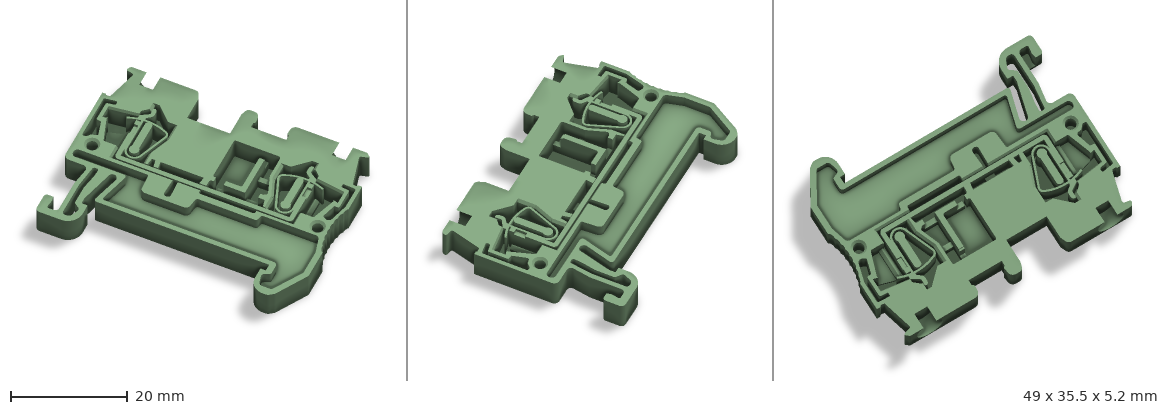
import cadquery as cq
import math

TOP = 5.2
FLOOR = 0.8
WELL_FLOOR = 1.2
KEY_FLOOR = 1.5
FOOT_FLOOR = 3.0
RIB_TOP = 2.4
CONTACT_FLOOR = 4.3
LEAD_IN = 0.5
SHELF = 2.5
METAL_TOP = 4.9
OVERSHOOT = 1.0

HALF_LENGTH = 24.5
HEIGHT = 35.5

GRIP_RADIUS = 13.5
GRIP_CENTER = (36.9, 17.5)
GRIP_TOP_Y = 23.0
GRIP_BOTTOM_Y = 12.5
GRIP_SCALLOPS = 8
SCALLOP_DEPTH = 0.15

BAR_LEG_X = 16.8
BAR_THICKNESS = 0.85
BAR_BOTTOM = 16.45
BAR_LEG_TOP = 25.5
BAR_CORNER = 0.8
CHANNEL_X = BAR_LEG_X + 0.65
CHANNEL_BOTTOM = 15.95
CHANNEL_SLOPE = 0.33
RIB_X = -17.65
SPRING_THICKNESS = 0.38
SPRING_ARC_RADIUS = 9.3
SPRING_ARC_CENTER = (-14.9, 16.95)
CONTACT_Y = (22.4, 24.55)

POST_X = -14.3
POST_HALF_WIDTH = 0.67
POST_BOTTOM = 18.4
POST_TOP = 25.7
POST_CORNER = 0.6
POST_FOOT_Y = 19.3
POST_FOOT_BASE_RADIUS = 1.1
POST_FOOT_TOP_RADIUS = 0.9
HOLE_CENTER = (21.3, 17.3)
HOLE_RADIUS = 1.0
SINK_RADIUS = 1.4
SINK_DEPTH = 0.45
BORE_X = 18.2
BORE_RADIUS = 2.6
BORE_AXIS_Z = 2.94
BORE_DEPTH = 3.0
WELL_BOTTOM = 18.8
WELL_TOP = 24.6
CHAMBER_BOTTOM = 17.0


def rounded_wire(points, plane_z=0.0):
    """Closed outline through (x, y) or (x, y, radius) corners; a radius turns the corner into an arc."""
    count = len(points)
    stretches = []
    for i, corner in enumerate(points):
        here = cq.Vector(corner[0], corner[1])
        if len(corner) == 2:
            stretches.append((here,))
            continue
        radius = corner[2]
        back = (cq.Vector(*points[i - 1][:2]) - here).normalized()
        ahead = (cq.Vector(*points[(i + 1) % count][:2]) - here).normalized()
        half_angle = back.getAngle(ahead) / 2
        reach = radius / math.tan(half_angle)
        bisector = (back + ahead).normalized()
        middle = here + bisector * (radius / math.sin(half_angle) - radius)
        stretches.append((here + back * reach, middle, here + ahead * reach))
    sketch = cq.Workplane("XY", origin=(0, 0, plane_z)).moveTo(stretches[0][-1].x, stretches[0][-1].y)
    for stretch in stretches[1:] + stretches[:1]:
        sketch = sketch.lineTo(stretch[0].x, stretch[0].y)
        if len(stretch) == 3:
            sketch = sketch.threePointArc(stretch[1].toTuple()[:2], stretch[2].toTuple()[:2])
    return sketch.close()


def prism(points, bottom, top):
    return rounded_wire(points, bottom).extrude(top - bottom)


def pocket(points, floor=FLOOR):
    """Cutter for a recess open at the top face."""
    return prism(points, floor, TOP + OVERSHOOT)


def box(x0, x1, y0, y1, bottom, top):
    return cq.Workplane("XY").box(x1 - x0, y1 - y0, top - bottom, centered=False).translate((x0, y0, bottom))


def mirrored(shape):
    return shape.mirror("YZ")


def both_ends(shape):
    return shape.union(mirrored(shape))


def lead_in_wall(start, end, width, lead=LEAD_IN, top=TOP):
    """Lining on the left of start-end, `width` thick, whose top `lead` slopes back to the rim."""
    along = cq.Vector(end[0] - start[0], end[1] - start[1])
    inward = cq.Vector(-along.y, along.x).normalized()
    plane = cq.Plane(origin=(start[0], start[1], FLOOR), xDir=inward, normal=along.normalized())
    height = top - FLOOR
    section = [(0, 0), (width, 0), (width, height - lead), (0, height)]
    return cq.Workplane(plane).polyline(section).close().extrude(along.Length)


def grip_point(y, inset=0.0):
    center_x, center_y = GRIP_CENTER
    return (center_x - math.sqrt(GRIP_RADIUS**2 - (y - center_y) ** 2) - inset, y)


def body_blank():
    outline = [
        (-HALF_LENGTH, 12.5, 1.0),
        (-HALF_LENGTH, 28.3),
        (-23.85, 28.3),
        (-23.75, 28.1),
        (-22.95, 28.1, 0.3),
        (-21.3, 34.2, 0.4),
        (-22.95, 34.5, 0.3),
        (-22.5, HEIGHT, 0.7),
        (-9.65, HEIGHT, 0.9),
        (-9.0, 33.9),
        (-9.0, 29.4),
        (-0.9, 29.4),
        (-0.9, 34.0),
        (-0.45, HEIGHT, 0.8),
        (1.85, HEIGHT, 1.1),
        (2.1, 33.4, 0.3),
        (1.75, 33.2),
        (1.75, 32.2),
        (8.4, 32.2),
        (8.4, 33.2),
        (8.0, 33.5, 0.3),
        (8.1, HEIGHT, 1.1),
        (22.2, HEIGHT, 0.4),
        (23.1, 34.7, 0.2),
        (21.3, 34.2, 0.3),
        (21.6, 33.0),
        (22.85, 28.2),
        (23.5, 28.1),
        (23.85, 28.4),
        (HALF_LENGTH, 28.4),
        (HALF_LENGTH, GRIP_TOP_Y),
        (HALF_LENGTH, GRIP_BOTTOM_Y),
        (HALF_LENGTH, 6.8),
        (20.95, 0.8, 1.0),
        (19.9, 0.0, 1.2),
        (16.35, 0.0, 2.6),
        (16.35, 4.8),
        (17.35, 4.8),
        (17.35, 6.15),
        (-15.9, 6.15, 0.5),
        (-14.0, 12.9, 0.8),
        (-15.65, 12.8, 0.68),
        (-17.45, 6.0),
        (-17.45, 4.8),
        (-16.3, 4.8),
        (-16.3, 0.0, 2.8),
        (-24.0, 0.0, 0.8),
        (-24.0, 4.05, 0.6),
        (-20.45, 4.05, 0.6),
        (-20.45, 8.2),
        (-19.75, 12.5, 0.8),
    ]
    return prism(outline, 0, TOP)


def grip_cutter():
    """Hollow arc with small scallops along the right edge."""
    pitch = (GRIP_TOP_Y - GRIP_BOTTOM_Y) / GRIP_SCALLOPS
    sketch = cq.Workplane("XY").moveTo(*grip_point(GRIP_TOP_Y))
    for i in range(GRIP_SCALLOPS):
        upper = GRIP_TOP_Y - i * pitch
        sketch = sketch.threePointArc(grip_point(upper - pitch / 2, SCALLOP_DEPTH), grip_point(upper - pitch))
    outside = HALF_LENGTH + OVERSHOOT
    return sketch.lineTo(outside, GRIP_BOTTOM_Y).lineTo(outside, GRIP_TOP_Y).close().extrude(TOP)


def foot_slot():
    """Through slot that makes the left rail foot springy."""
    outline = [
        (-18.95, 12.8, 0.4),
        (-17.9, 12.8, 0.4),
        (-18.05, 10.9),
        (-18.55, 8.15),
        (-18.55, 4.4, 0.3),
        (-17.2, 3.4, 0.5),
        (-18.1, 1.3, 0.8),
        (-19.55, 1.3, 0.6),
        (-19.55, 8.15),
    ]
    return prism(outline, 0, TOP)


def foot_recesses():
    wide = [
        (-23.5, 15.25, 0.8),
        (-9.7, 15.25, 0.3),
        (-9.45, 11.4, 0.9),
        (-0.45, 11.4, 0.9),
        (-0.1, 14.05, 0.5),
        (11.35, 14.05, 0.5),
        (11.6, 15.4, 0.4),
        (22.45, 15.4, 0.8),
        (23.4, 12.0),
        (23.4, 7.05),
        (20.0, 1.45, 0.5),
        (17.6, 1.45, 0.7),
        (17.0, 3.8, 0.7),
        (18.5, 4.4, 0.5),
        (18.5, 7.05, 0.7),
        (-14.7, 7.05, 0.4),
        (-12.9, 13.55, 0.5),
        (-23.5, 13.55, 0.8),
    ]
    toe = [
        (-22.55, 4.6),
        (-22.25, 3.2),
        (-22.5, 1.45, 0.3),
        (-20.45, 1.45, 0.7),
        (-20.45, 4.6),
    ]
    return pocket(wide, FOOT_FLOOR).union(pocket(toe))


def edge_grooves():
    """Thin-wall grooves beside the wire mouths; the two ends differ."""
    left = [
        (-23.75, 27.25, 0.3),
        (-21.3, 27.65, 0.3),
        (-21.3, 26.8, 0.3),
        (-22.95, 26.5, 0.3),
        (-22.95, 22.6),
        (-22.0, 22.4),
        (-21.15, 19.4, 0.4),
        (-22.3, 19.2, 0.3),
        (-23.0, 18.4, 0.3),
        (-23.75, 18.4, 0.3),
    ]
    right = [
        (21.3, 27.55),
        (23.8, 27.45, 0.3),
        (23.8, 23.2),
        (22.6, 18.9, 0.7),
        (21.2, 19.7, 0.2),
        (22.0, 22.5),
        (22.9, 22.55, 0.3),
        (22.9, 26.7, 0.3),
        (21.3, 26.85),
    ]
    return pocket(left).union(pocket(right))


def clamp_cavity():
    """Cavity of the left clamp with its wire mouth; the right clamp is its mirror image."""
    chamber_and_mouth = [
        (-15.7, 29.9),
        (-14.4, 29.9),
        (-11.6, 27.2),
        (-9.8, 27.2),
        (-9.8, 23.75),
        (-11.3, 19.95),
        (-11.3, CHAMBER_BOTTOM),
        (-CHANNEL_X, CHAMBER_BOTTOM),
        (-CHANNEL_X, WELL_TOP),
        (-18.2, WELL_TOP),
        (-21.8, 23.55),
        (-22.25, 23.4),
        (-22.25, 26.05),
        (-16.8, 26.8),
        (-16.8, 27.4),
        (-15.7, 28.4),
    ]
    wire_well = [
        (RIB_X, WELL_TOP),
        (-18.2, WELL_TOP),
        (-21.5, 23.65, 0.3),
        (-19.85, WELL_BOTTOM, 0.3),
        (RIB_X, WELL_BOTTOM),
    ]
    above_rib = box(RIB_X, -CHANNEL_X, WELL_BOTTOM, WELL_TOP, RIB_TOP, TOP + OVERSHOOT)
    return pocket(chamber_and_mouth).union(pocket(wire_well, WELL_FLOOR)).union(above_rib)


def clamp_lining():
    lining = lead_in_wall((-9.8, 23.75), (-9.8, 27.2), 0.45)
    lining = lining.union(lead_in_wall((-11.3, 19.95), (-9.8, 23.75), 0.4))
    lining = lining.union(lead_in_wall((-11.3, 17.35), (-11.3, 19.95), 0.4))
    lining = lining.union(lead_in_wall((-15.7, 29.9), (-15.7, 28.4), 0.45))
    lining = lining.union(lead_in_wall((-16.8, 26.8), (-22.25, 26.05), 0.25))
    lining = lining.union(lead_in_wall((RIB_X, WELL_BOTTOM), (RIB_X, WELL_TOP), 0.55, top=RIB_TOP))
    bar_side = lead_in_wall((-CHANNEL_X, WELL_TOP), (-CHANNEL_X, WELL_BOTTOM), CHANNEL_SLOPE, top=RIB_TOP)
    return lining.union(bar_side)


def slot_post():
    """Upright stadium inside the spring loop, with a round foot at its lower end."""
    outline = [
        (POST_X - POST_HALF_WIDTH, POST_BOTTOM, POST_CORNER),
        (POST_X + POST_HALF_WIDTH, POST_BOTTOM, POST_CORNER),
        (POST_X + POST_HALF_WIDTH, POST_TOP, POST_CORNER),
        (POST_X - POST_HALF_WIDTH, POST_TOP, POST_CORNER),
    ]
    shank = prism(outline, FLOOR, TOP)
    base = cq.Workplane("XY", origin=(POST_X, POST_FOOT_Y, FLOOR)).circle(POST_FOOT_BASE_RADIUS)
    foot = base.workplane(offset=TOP - FLOOR).circle(POST_FOOT_TOP_RADIUS).loft()
    return shank.union(foot)


def busbar_channel():
    return box(-CHANNEL_X, CHANNEL_X, CHANNEL_BOTTOM, BAR_BOTTOM + BAR_THICKNESS, FLOOR, TOP + OVERSHOOT)


def channel_lining():
    corners = [
        (-CHANNEL_X, WELL_BOTTOM),
        (-CHANNEL_X, CHANNEL_BOTTOM),
        (CHANNEL_X, CHANNEL_BOTTOM),
        (CHANNEL_X, WELL_BOTTOM),
    ]
    lining = cq.Workplane("XY")
    for start, end in zip(corners, corners[1:]):
        lining = lining.union(lead_in_wall(start, end, CHANNEL_SLOPE))
    return lining


def central_cavities():
    main = [
        (0.4, 28.4, 0.3),
        (9.2, 28.4, 0.4),
        (9.2, 23.9),
        (10.6, 20.1, 0.3),
        (10.0, 19.65),
        (9.4, 19.65),
        (9.4, 18.7),
        (1.0, 18.7),
        (1.0, 19.65),
        (0.4, 19.65, 0.3),
    ]
    wall = [(5.9, 26.55), (6.9, 26.55), (6.9, 18.7), (2.9, 18.7), (2.9, 19.65), (5.9, 19.65, 0.4)]
    low_slot = [(0.25, 17.3), (0.3, 18.7, 0.4), (10.65, 18.7, 0.2), (10.95, 17.3)]
    ledges = [
        (5.9, 6.9, 26.55, 26.9, METAL_TOP),
        (5.9, 6.9, 26.9, 28.4, SHELF),
        (6.9, 9.2, 23.9, 24.9, SHELF),
        (1.4, 2.9, 18.7, 19.65, SHELF),
        (6.9, 9.4, 18.7, 19.65, SHELF),
    ]
    cutter = pocket(main).cut(prism(wall, FLOOR, TOP))
    for x0, x1, y0, y1, top in ledges:
        cutter = cutter.cut(box(x0, x1, y0, y1, FLOOR, top))
    return cutter.union(pocket(low_slot))


def busbar_pockets():
    small = pocket([(-10.85, 17.3), (-10.65, 18.7), (-10.0, 18.7), (-9.7, 17.3)])
    wide = pocket([(-8.85, 17.3), (-9.0, 18.7), (-0.85, 18.7), (-1.05, 17.3)])
    wide = wide.cut(box(-5.9, -4.05, 17.3, 18.7, 0, SHELF))
    below = pocket([(-0.25, 16.4), (-0.25, 15.25, 0.3), (10.35, 15.25, 0.3), (10.4, 16.4)])
    key = pocket([(-5.45, 16.4), (-5.6, 12.3, 0.55), (-4.3, 12.3, 0.55), (-4.5, 16.4)])
    key = key.cut(box(-5.7, -4.2, 12.2, 15.35, FLOOR, KEY_FLOOR))
    return small.union(wide).union(below).union(key)


def stepped_holes():
    x, y = HOLE_CENTER
    hole = cq.Workplane("XY", origin=(x, y, FLOOR)).circle(HOLE_RADIUS).extrude(TOP - FLOOR)
    rim = cq.Workplane("XY", origin=(x, y, TOP)).circle(SINK_RADIUS)
    sink = rim.workplane(offset=-SINK_DEPTH).circle(HOLE_RADIUS).loft()
    return both_ends(hole.union(sink))


def driver_bores():
    """Screwdriver bores running in from the top edge, breaking through the top face."""
    bore = cq.Workplane("XZ", origin=(BORE_X, HEIGHT, BORE_AXIS_Z)).circle(BORE_RADIUS).extrude(BORE_DEPTH)
    return both_ends(bore)


housing = body_blank().cut(grip_cutter()).cut(foot_slot()).cut(foot_recesses()).cut(edge_grooves())
housing = housing.cut(both_ends(clamp_cavity())).cut(busbar_channel())
housing = housing.union(both_ends(clamp_lining())).union(channel_lining())
housing = housing.cut(central_cavities()).cut(busbar_pockets()).cut(stepped_holes()).cut(driver_bores())
housing = housing.union(both_ends(slot_post()))


def make_busbar():
    inner = BAR_LEG_X - BAR_THICKNESS
    outline = [
        (-BAR_LEG_X, BAR_LEG_TOP),
        (-BAR_LEG_X, BAR_BOTTOM, BAR_CORNER),
        (BAR_LEG_X, BAR_BOTTOM, BAR_CORNER),
        (BAR_LEG_X, BAR_LEG_TOP),
        (inner, BAR_LEG_TOP),
        (inner, BAR_BOTTOM + BAR_THICKNESS),
        (-inner, BAR_BOTTOM + BAR_THICKNESS),
        (-inner, BAR_LEG_TOP),
    ]
    bar = prism(outline, FLOOR, METAL_TOP)
    return bar.cut(box(-BAR_LEG_X, BAR_LEG_X, *CONTACT_Y, CONTACT_FLOOR, METAL_TOP))


def make_spring():
    """Left spring: a teardrop loop, the tongue that leaves it over the wire, and the hooked end."""
    center_x, center_y = SPRING_ARC_CENTER

    def arc_point(x, radius):
        return (x, center_y + math.sqrt(radius**2 - (x - center_x) ** 2))

    leg_x = -BAR_LEG_X + BAR_THICKNESS
    outside = SPRING_ARC_RADIUS
    inside = outside - SPRING_THICKNESS
    loop = (
        cq.Workplane("XY", origin=(0, 0, FLOOR))
        .moveTo(*arc_point(leg_x, outside))
        .threePointArc(arc_point(-13.6, outside), arc_point(-11.1, outside))
        .threePointArc((-10.5, 24.9), (-10.45, 24.2))
        .lineTo(-12.5, 18.9)
        .threePointArc((-14.2, 17.55), (leg_x, 19.2))
        .close()
    )
    hollow = cq.Workplane("XY").newObject(loop.val().offset2D(-SPRING_THICKNESS)).toPending()
    outer = loop.extrude(METAL_TOP - FLOOR)
    inner = hollow.extrude(METAL_TOP - FLOOR)
    tongue = (
        cq.Workplane("XY", origin=(0, 0, FLOOR))
        .moveTo(*arc_point(-15.8, outside))
        .threePointArc(arc_point(-17.2, outside), arc_point(-18.65, outside))
        .lineTo(*arc_point(-18.5, inside))
        .threePointArc(arc_point(-17.2, inside), arc_point(-15.8, inside))
        .close()
        .extrude(METAL_TOP - FLOOR)
    )
    hook = [
        (-16.75, 26.0),
        (-16.75, 26.7),
        (-15.15, 27.7, 0.3),
        (-15.2, 29.0),
        (-14.7, 29.1, 0.3),
        (-14.4, 28.6),
        (-14.4, 27.4, 0.9),
        (-15.45, 26.6),
        (-15.45, 26.0),
    ]
    return outer.cut(inner).union(tongue).union(prism(hook, FLOOR, METAL_TOP))


busbar = make_busbar()
left_spring = make_spring()
right_spring = mirrored(left_spring)

result = cq.Compound.makeCompound([housing.val(), busbar.val(), left_spring.val(), right_spring.val()])